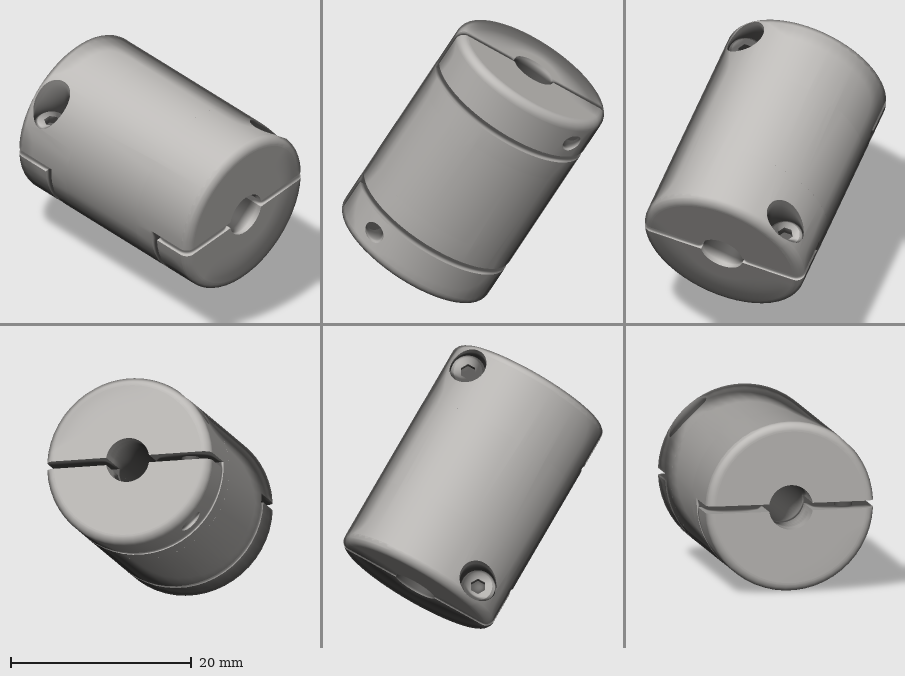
import cadquery as cq
import math


length = 26.0
outer_diameter = 19.0
bore_diameter = 5.0
edge_round = 1.0
hub_length = 7.75

outer_radius = outer_diameter / 2
end_x = length / 2
joint_x = end_x - hub_length

slot_width = 0.83
clamp_length = 4.58

screw_inset = 2.68
screw_offset = 6.5
shank_diameter = 2.0
shank_length = 6.0
head_diameter = 3.8
head_height = 2.0
head_chamfer = 0.3
socket_width = 1.5
socket_depth = 1.0
counterbore_diameter = 4.08
counterbore_floor_z = 1.95

screw_x = -end_x + screw_inset
screw_y = -screw_offset

tooth_height = 1.12
tooth_tip_radius = 1.3
tooth_root_radius = 0.78
tooth_angles = (-30, -150)


def tube(start_x, tube_length):
    """Length of the coupling wall, from the bore to the outer diameter."""
    return (
        cq.Workplane("YZ", origin=(start_x, 0, 0))
        .circle(outer_radius)
        .circle(bore_diameter / 2)
        .extrude(tube_length)
    )


def tooth(angle):
    """One tooth on the -X hub: a round tip blended into the joint face by root arcs."""
    tip_x = -joint_x + tooth_height
    tip_centre_x = tip_x - tooth_tip_radius
    root_centre_x = -joint_x + tooth_root_radius
    centre_distance = tooth_tip_radius + tooth_root_radius
    tilt = math.asin((root_centre_x - tip_centre_x) / centre_distance)
    half_width = centre_distance * math.cos(tilt)
    blend_x = tip_centre_x + tooth_tip_radius * math.sin(tilt)
    blend_y = tooth_tip_radius * math.cos(tilt)
    middle = (math.pi / 2 + tilt) / 2
    root_x = root_centre_x - tooth_root_radius * math.sin(middle)
    root_y = half_width - tooth_root_radius * math.cos(middle)
    return (
        cq.Workplane("XY")
        .moveTo(-joint_x, -half_width)
        .threePointArc((root_x, -root_y), (blend_x, -blend_y))
        .threePointArc((tip_x, 0), (blend_x, blend_y))
        .threePointArc((root_x, root_y), (-joint_x, half_width))
        .close()
        .extrude(outer_diameter)
        .rotate((0, 0, 0), (1, 0, 0), angle)
    )


def hub_teeth():
    """Both teeth, trimmed to the wall of the coupling."""
    first, second = [tooth(angle) for angle in tooth_angles]
    return first.union(second).intersect(tube(-joint_x, tooth_height))


def slots():
    """Level slot through the axis and the upright slot behind the clamp piece."""
    slot_end = clamp_length + slot_width
    level = cq.Workplane("XY", origin=(-end_x, 0, 0)).box(
        slot_end, outer_diameter, slot_width, centered=(False, True, True)
    )
    upright = cq.Workplane("XY", origin=(-end_x + clamp_length, 0, -outer_radius)).box(
        slot_width, outer_diameter, outer_radius, centered=(False, True, False)
    )
    return level.union(upright)


def screw_hole():
    """Threaded hole right through the hub, counterbored from the top for the screw head."""
    threaded = (
        cq.Workplane("XY", origin=(screw_x, screw_y, -outer_radius))
        .circle(shank_diameter / 2)
        .extrude(outer_diameter)
    )
    counterbore = (
        cq.Workplane("XY", origin=(screw_x, screw_y, counterbore_floor_z))
        .circle(counterbore_diameter / 2)
        .extrude(outer_radius)
    )
    return threaded.union(counterbore)


def screw():
    """Cap screw seated on the counterbore floor; two socket flats face along X."""
    seat = cq.Workplane("XY", origin=(screw_x, screw_y, counterbore_floor_z))
    head = seat.circle(head_diameter / 2).extrude(head_height).faces(">Z").chamfer(head_chamfer)
    shank = seat.circle(shank_diameter / 2).extrude(-shank_length)
    socket = (
        seat.workplane(offset=head_height)
        .polygon(6, socket_width, circumscribed=True)
        .extrude(-socket_depth)
    )
    return head.union(shank).cut(socket)


def make_hub():
    """Hub at the -X end, with its clamp piece and screw."""
    outer_edge = cq.selectors.RadiusNthSelector(-1)
    blank = tube(-end_x, hub_length).faces("<X").edges(outer_edge).fillet(edge_round)
    hub = blank.union(hub_teeth()).cut(slots()).cut(screw_hole()).union(screw())
    return hub.solids().val()


def make_sleeve(hubs):
    """Middle sleeve between the joint faces, recessed for the teeth of both hubs."""
    sleeve = tube(-joint_x, 2 * joint_x)
    for hub in hubs:
        sleeve = sleeve.cut(cq.Workplane(hub))
    return sleeve.solids().val()


first_hub = make_hub()
hubs = [first_hub.rotate(cq.Vector(0, 0, 0), cq.Vector(0, 0, 1), turn) for turn in (0, 180)]
sleeve = make_sleeve(hubs)

result = cq.Compound.makeCompound([sleeve, *hubs])